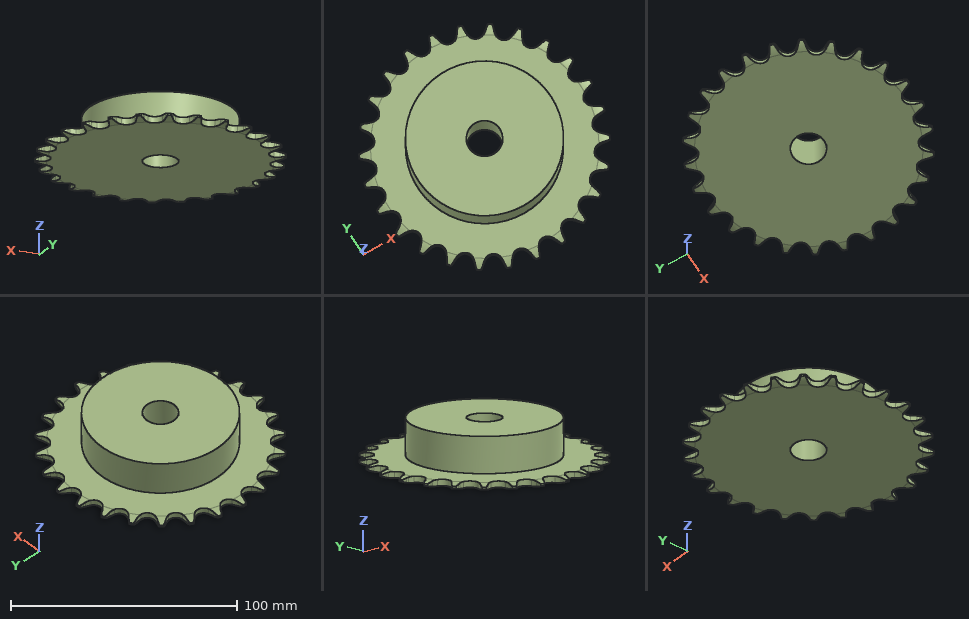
import cadquery as cq
import math

tooth_count = 26
tip_radius = 55.6
plate_thickness = 3.0
total_height = 20.0
hub_diameter = 70.0
bore_diameter = 16.0

roller_diameter = 7.9
seat_play = 0.038

pitch_radius = 52.7
seat_radius = 0.5025 * roller_diameter + seat_play
seat_half_angle = math.radians(55 - 60 / tooth_count)
flank_offset = 0.8 * roller_diameter
flank_radius = seat_radius + flank_offset
flank_sweep = math.radians(18 - 56 / tooth_count)
flank_end_angle = seat_half_angle + flank_sweep
topping_offset = 1.4 * roller_diameter
topping_tilt = math.radians(17 - 64 / tooth_count)
straight_length = topping_offset * math.sin(topping_tilt) - flank_offset * math.sin(flank_sweep)
topping_radius = (
    topping_offset * math.cos(topping_tilt) + flank_offset * math.cos(flank_sweep) - flank_radius
)

relief_start_radius = 50.5
relief_radius = 13.0

cut_clearance = 1.1


def make_tooth_blank():
    """Plain disc whose rim narrows towards the tips along tangent arcs."""

    def relief_drop(radius):
        run = radius - relief_start_radius
        return relief_radius - math.sqrt(relief_radius**2 - run**2)

    middle_radius = (relief_start_radius + tip_radius) / 2
    middle_drop = relief_drop(middle_radius)
    tip_drop = relief_drop(tip_radius)
    return (
        cq.Workplane("XZ")
        .lineTo(relief_start_radius, 0)
        .threePointArc((middle_radius, middle_drop), (tip_radius, tip_drop))
        .lineTo(tip_radius, plate_thickness - tip_drop)
        .threePointArc(
            (middle_radius, plate_thickness - middle_drop),
            (relief_start_radius, plate_thickness),
        )
        .lineTo(0, plate_thickness)
        .close()
        .revolve(360, (0, 0), (0, 1))
    )


def polar_step(start, length, angle):
    """Point at a distance from start, the angle turned from -X towards +Y."""
    return start[0] - length * math.cos(angle), start[1] + length * math.sin(angle)


def make_tooth_gap():
    """Cutter for one gap on +X: roller seat, hollow flanks, short straights, rounded tops."""
    quarter_turn = math.pi / 2
    seat_centre = (pitch_radius, 0)
    seat_end = polar_step(seat_centre, seat_radius, seat_half_angle)

    flank_centre = polar_step(seat_centre, -flank_offset, seat_half_angle)
    flank_middle = polar_step(flank_centre, flank_radius, seat_half_angle + flank_sweep / 2)
    flank_end = polar_step(flank_centre, flank_radius, flank_end_angle)

    straight_end = polar_step(flank_end, straight_length, flank_end_angle + quarter_turn)
    topping_centre = polar_step(straight_end, topping_radius, flank_end_angle)

    def topping_point(x):
        drop = math.sqrt(topping_radius**2 - (x - topping_centre[0]) ** 2)
        return x, topping_centre[1] - drop

    outer_x = tip_radius + cut_clearance
    topping_middle = topping_point((straight_end[0] + outer_x) / 2)
    topping_end = topping_point(outer_x)

    def mirrored(point):
        return point[0], -point[1]

    return (
        cq.Workplane("XY")
        .moveTo(*mirrored(topping_end))
        .threePointArc(mirrored(topping_middle), mirrored(straight_end))
        .lineTo(*mirrored(flank_end))
        .threePointArc(mirrored(flank_middle), mirrored(seat_end))
        .threePointArc((pitch_radius - seat_radius, 0), seat_end)
        .threePointArc(flank_middle, flank_end)
        .lineTo(*straight_end)
        .threePointArc(topping_middle, topping_end)
        .close()
        .extrude(plate_thickness)
    )


def make_toothed_plate():
    """Cut the gaps so that one tooth is centred on +X."""
    plate = make_tooth_blank()
    gap = make_tooth_gap()
    tooth_angle = 360 / tooth_count
    for index in range(tooth_count):
        plate = plate.cut(gap.rotate((0, 0, 0), (0, 0, 1), (index + 0.5) * tooth_angle))
    return plate


hub = cq.Workplane("XY").circle(hub_diameter / 2).extrude(total_height)
bore = cq.Workplane("XY").circle(bore_diameter / 2).extrude(total_height)

result = make_toothed_plate().union(hub).cut(bore)